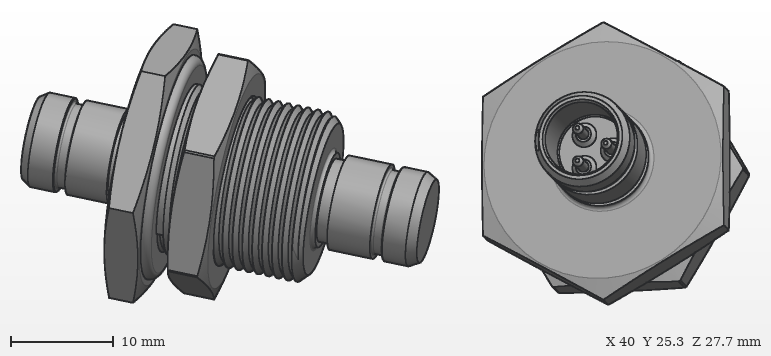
import cadquery as cq
import math


length = 40.0

shank_radius = 4.7
waist_radius = 4.15
groove_radius = 4.2
end_face_radius = 4.15
socket_chamfer_length = 0.85
tail_chamfer_length = 1.0
groove_start = 3.35
groove_width = 1.25
groove_lip_chamfer = 0.1
groove_fillet = 0.2
socket_waist_start = 8.8
socket_waist_end = 9.9
tail_waist_start = 29.9
tail_waist_end = 31.1
root_fillet = 0.4

flange_start = 10.5
flange_thickness = 3.5
flange_across_flats = 24.0
flange_face_radius = 11.8
flange_corner_angle = 90.0
collar_end = 14.85
collar_radius = 11.2

barrel_end = 29.45
thread_radius = 8.5
barrel_chamfer = 0.9
thread_pitch = 1.0
thread_depth = 0.5
thread_crest = 0.05
groove_overshoot = 0.02
thread_start = 15.05
thread_turns = 14

bore_radius = 3.6
bore_mouth_radius = 3.8
bore_mouth_chamfer = 0.3
bore_floor_chamfer = 0.15
bore_depth = 6.4
key_width = 2.0
key_depth = 0.7
key_inner_wall = 4.25
pin_count = 3
pin_circle_radius = 1.9
pin_radius = 0.5
pin_tip_radius = 0.2
pin_tip_length = 0.35
pin_tip_position = 2.95
pin_base_radius = 1.2
pin_base_top_radius = 0.75
pin_base_height = 0.5

nut_start = 16.6
nut_thickness = 4.05
nut_across_flats = 22.0
nut_corner_radius = 12.65
nut_corner_angle = 0.0
nut_face_radius = 10.7

hex_chamfer_angle = 15.0

flange_end = flange_start + flange_thickness
diagonal = math.sqrt(0.5)


def revolved(profile):
    """Turn a closed (x, radius) outline about the X axis."""
    return profile.close().revolve(360, (0, 0, 0), (1, 0, 0))


def cylinder(start, end, radius):
    return cq.Workplane("YZ", origin=(start, 0, 0)).circle(radius).extrude(end - start)


def hexagon_corner_radius(across_flats):
    return across_flats / 2 / math.cos(math.pi / 6)


def chamfered_hexagon(start, thickness, across_flats, face_radius, outer_radius, corner_angle):
    """Hexagonal prism along X with its corners turned down conically on both faces."""
    prism = (
        cq.Workplane("YZ", origin=(start, 0, 0))
        .transformed(rotate=(0, 0, corner_angle))
        .polygon(6, 2 * hexagon_corner_radius(across_flats))
        .extrude(thickness)
    )
    drop = (outer_radius - face_radius) * math.tan(math.radians(hex_chamfer_angle))
    envelope = revolved(
        cq.Workplane("XY")
        .moveTo(start, 0)
        .lineTo(start, face_radius)
        .lineTo(start + drop, outer_radius)
        .lineTo(start + thickness - drop, outer_radius)
        .lineTo(start + thickness, face_radius)
        .lineTo(start + thickness, 0)
    )
    return prism.intersect(envelope)


def plug_end(end_face, inward, chamfer_length, waist_near, waist_far, root):
    """Turned shank with a latching groove; inward is +1 or -1 along X from its end face to its root."""
    lip = end_face + inward * groove_start
    groove_near = lip + inward * groove_lip_chamfer
    groove_far = lip + inward * groove_width
    fillet_run = inward * groove_fillet
    arc_inset = inward * groove_fillet * (1 - diagonal)
    arc_radius = groove_radius + groove_fillet * (1 - diagonal)
    wall_foot_radius = groove_radius + groove_fillet
    fillet_start = root - inward * root_fillet
    fillet_middle = (
        root - inward * root_fillet * (1 - diagonal),
        shank_radius + root_fillet * (1 - diagonal),
    )
    return revolved(
        cq.Workplane("XY")
        .moveTo(end_face, 0)
        .lineTo(end_face, end_face_radius)
        .lineTo(end_face + inward * chamfer_length, shank_radius)
        .lineTo(lip, shank_radius)
        .lineTo(groove_near, shank_radius - groove_lip_chamfer)
        .lineTo(groove_near, wall_foot_radius)
        .threePointArc((groove_near + arc_inset, arc_radius), (groove_near + fillet_run, groove_radius))
        .lineTo(groove_far - fillet_run, groove_radius)
        .threePointArc((groove_far - arc_inset, arc_radius), (groove_far, wall_foot_radius))
        .lineTo(groove_far, shank_radius)
        .lineTo(waist_near, shank_radius)
        .lineTo(waist_near, waist_radius)
        .lineTo(waist_far, waist_radius)
        .lineTo(waist_far, shank_radius)
        .lineTo(fillet_start, shank_radius)
        .threePointArc(fillet_middle, (root, shank_radius + root_fillet))
        .lineTo(root, 0)
    )


def threaded_barrel():
    """Barrel with one right-handed V groove that starts and ends on the -Y side."""
    blank = cylinder(flange_end, barrel_end, thread_radius)
    chamfered_blank = blank.faces(">X").chamfer(barrel_chamfer)
    half_width = (thread_pitch - thread_crest) / 2
    half_mouth = half_width * (1 + groove_overshoot / thread_depth)
    helix = cq.Wire.makeHelix(thread_pitch, thread_turns * thread_pitch, thread_radius)
    cutter = (
        cq.Workplane("XZ")
        .moveTo(thread_radius - thread_depth, 0)
        .lineTo(thread_radius + groove_overshoot, half_mouth)
        .lineTo(thread_radius + groove_overshoot, -half_mouth)
        .close()
        .sweep(cq.Workplane(obj=helix), isFrenet=True)
        .rotate((0, 0, 0), (0, 1, 0), 90)
        .rotate((0, 0, 0), (1, 0, 0), -90)
        .translate((thread_start, 0, 0))
    )
    return blank.cut(cutter).intersect(chamfered_blank)


def collar():
    """Collar behind the flange, rounded over its whole length."""
    round_radius = collar_end - flange_end
    arc_centre_radius = collar_radius - round_radius
    arc_middle = (
        flange_end + round_radius * diagonal,
        arc_centre_radius + round_radius * diagonal,
    )
    return revolved(
        cq.Workplane("XY")
        .moveTo(flange_end, 0)
        .lineTo(flange_end, collar_radius)
        .threePointArc(arc_middle, (collar_end, arc_centre_radius))
        .lineTo(collar_end, 0)
    )


def socket_bore():
    return revolved(
        cq.Workplane("XY")
        .moveTo(0, 0)
        .lineTo(0, bore_mouth_radius)
        .lineTo(bore_mouth_chamfer, bore_radius)
        .lineTo(bore_depth - bore_floor_chamfer, bore_radius)
        .lineTo(bore_depth, bore_radius - bore_floor_chamfer)
        .lineTo(bore_depth, 0)
    )


def key_notch():
    """Cutter for the flat-floored polarising notch in the end chamfer on the +Y side."""
    return cq.Workplane("XY", origin=(0, key_inner_wall, 0)).box(
        key_depth, shank_radius, key_width, centered=(False, False, True)
    )


def contact_pin():
    """Contact pin on the X axis with a tapered tip and a conical base on the bore floor."""
    return revolved(
        cq.Workplane("XY")
        .moveTo(pin_tip_position, 0)
        .lineTo(pin_tip_position, pin_tip_radius)
        .lineTo(pin_tip_position + pin_tip_length, pin_radius)
        .lineTo(bore_depth - pin_base_height, pin_radius)
        .lineTo(bore_depth - pin_base_height, pin_base_top_radius)
        .lineTo(bore_depth, pin_base_radius)
        .lineTo(bore_depth, 0)
    )


def make_housing():
    flange = chamfered_hexagon(
        flange_start,
        flange_thickness,
        flange_across_flats,
        flange_face_radius,
        hexagon_corner_radius(flange_across_flats),
        flange_corner_angle,
    )
    socket_end = plug_end(0, 1, socket_chamfer_length, socket_waist_start, socket_waist_end, flange_start)
    tail_end = plug_end(length, -1, tail_chamfer_length, tail_waist_end, tail_waist_start, barrel_end)
    body = threaded_barrel().union(collar()).union(flange).union(socket_end).union(tail_end)
    body = body.cut(key_notch()).cut(socket_bore())
    for i in range(pin_count):
        angle = math.pi + 2 * math.pi * i / pin_count
        place = (0, pin_circle_radius * math.cos(angle), pin_circle_radius * math.sin(angle))
        body = body.union(contact_pin().translate(place))
    return body


def make_nut():
    blank = chamfered_hexagon(
        nut_start, nut_thickness, nut_across_flats, nut_face_radius, nut_corner_radius, nut_corner_angle
    )
    return blank.cut(cylinder(nut_start, nut_start + nut_thickness, thread_radius))


housing = make_housing()
nut = make_nut()
result = cq.Compound.makeCompound([*housing.solids().vals(), *nut.solids().vals()])